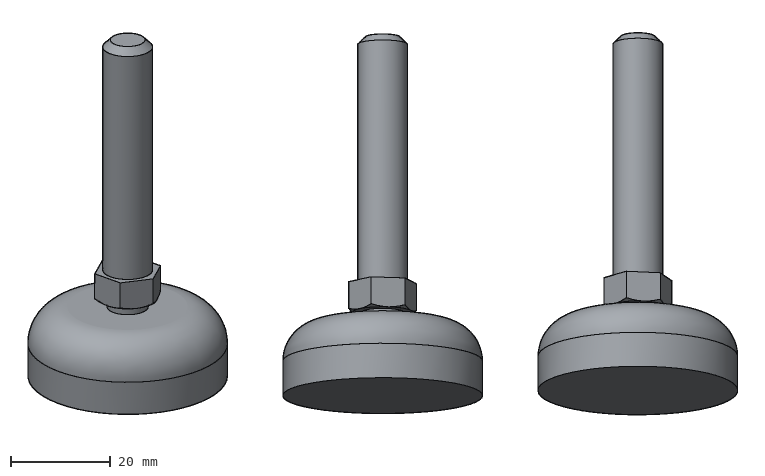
import cadquery as cq
import math

total_height = 73.0

foot_diameter = 40.0
pad_height = 7.0
dome_height = 7.95
dome_top_z = pad_height + dome_height
dome_edge_radius = dome_height

neck_diameter = 8.25
neck_height = 2.05
hex_across_flats = 12.0
hex_height = 6.0
hex_bevel_angle = 30.0
shank_diameter = 10.0
tip_chamfer = 1.5
hex_bottom_z = dome_top_z + neck_height
hex_top_z = hex_bottom_z + hex_height


def make_pad():
    """Flat round pad under the base."""
    return cq.Workplane("XY").circle(foot_diameter / 2).extrude(pad_height)


def make_dome():
    """Base with a quarter-round outer edge and a flat top."""
    return (
        cq.Workplane("XZ")
        .moveTo(0, pad_height)
        .lineTo(foot_diameter / 2, pad_height)
        .radiusArc((foot_diameter / 2 - dome_edge_radius, dome_top_z), -dome_edge_radius)
        .lineTo(0, dome_top_z)
        .close()
        .revolve(360, (0, 0, 0), (0, 1, 0))
    )


def make_hexagon():
    """Wrench hexagon with its lower corners bevelled by a cone."""
    across_corners = hex_across_flats / math.cos(math.radians(30))
    prism = cq.Workplane("XY").workplane(offset=hex_bottom_z).polygon(6, across_corners).extrude(hex_height)
    bottom_radius = hex_across_flats / 2
    top_radius = bottom_radius + hex_height / math.tan(math.radians(hex_bevel_angle))
    cone = cq.Workplane(
        cq.Solid.makeCone(bottom_radius, top_radius, hex_height, cq.Vector(0, 0, hex_bottom_z))
    )
    return prism.intersect(cone)


def make_stud():
    """Neck, wrench hexagon and chamfered shank in one piece."""
    neck = cq.Workplane("XY").workplane(offset=dome_top_z).circle(neck_diameter / 2).extrude(neck_height)
    shank = (
        cq.Workplane("XY")
        .workplane(offset=hex_top_z)
        .circle(shank_diameter / 2)
        .extrude(total_height - hex_top_z)
        .faces(">Z")
        .chamfer(tip_chamfer)
    )
    return neck.union(make_hexagon()).union(shank)


pad = make_pad()
dome = make_dome()
stud = make_stud()

result = cq.Compound.makeCompound([pad.val(), dome.val(), stud.solids().val()])